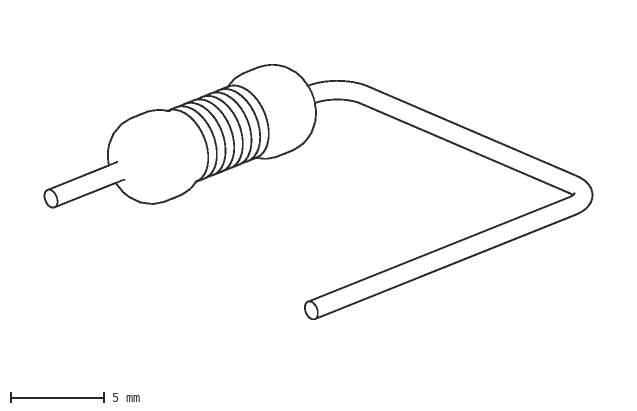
import cadquery as cq
import math


wire_diameter = 1.0
lead_spacing = 20.0
bend_radius = 2.0
lead_end_y = -11.93
overall_length = 21.8
wire_radius = wire_diameter / 2
crossbar_y = lead_end_y + overall_length - wire_radius

cap_radius = 4.8 / 2
core_radius = 4.08 / 2
band_radius = 4.1 / 2
band_width = 0.65
band_count = 4
bands_half_length = (2 * band_count - 1) * band_width / 2
cap_inner_y = 3.65
cap_outer_y = 4.7
neck_y = 6.8
dome_radius = 1.7


def tangent_radius_sum(length, drop):
    """Sum of the two radii of an S-curve that runs parallel to the axis at both ends."""
    return (length**2 + drop**2) / (2 * drop)


def add_s_curve(profile, convex_end, concave_end, convex_radius, concave_radius):
    """Draw the convex arc and then the concave arc, from the convex to the concave end."""
    (r_high, y_high), (r_low, y_low) = convex_end, concave_end
    direction = math.copysign(1, y_low - y_high)
    angle = math.asin(abs(y_low - y_high) / (convex_radius + concave_radius))

    def convex_point(a):
        return (r_high - convex_radius * (1 - math.cos(a)),
                y_high + direction * convex_radius * math.sin(a))

    def concave_point(a):
        return (r_low + concave_radius * (1 - math.cos(a)),
                y_low - direction * concave_radius * math.sin(a))

    profile = profile.threePointArc(convex_point(angle / 2), convex_point(angle))
    return profile.threePointArc(concave_point(angle / 2), concave_end)


def make_end_cap():
    """Revolve the +Y end: shoulder, cylindrical cap, dome and flared neck."""
    shoulder_length = cap_inner_y - bands_half_length
    shoulder_radius = tangent_radius_sum(shoulder_length, cap_radius - core_radius) / 2
    dome_length = neck_y - cap_outer_y
    flare_radius = tangent_radius_sum(dome_length, cap_radius - wire_radius) - dome_radius

    shoulder = cq.Workplane("XY").moveTo(cap_radius, cap_inner_y)
    shoulder = add_s_curve(shoulder, (cap_radius, cap_inner_y), (core_radius, bands_half_length),
                           shoulder_radius, shoulder_radius)
    shoulder = shoulder.lineTo(0, bands_half_length).lineTo(0, cap_inner_y).close()

    dome = cq.Workplane("XY").moveTo(0, cap_inner_y).lineTo(cap_radius, cap_inner_y)
    dome = dome.lineTo(cap_radius, cap_outer_y)
    dome = add_s_curve(dome, (cap_radius, cap_outer_y), (wire_radius, neck_y),
                       dome_radius, flare_radius)
    dome = dome.lineTo(0, neck_y).close()

    axis = ((0, 0, 0), (0, 1, 0))
    return shoulder.revolve(360, *axis).union(dome.revolve(360, *axis))


def make_body():
    end_cap = make_end_cap()
    core = (cq.Workplane("XZ")
            .circle(core_radius)
            .extrude(bands_half_length, both=True))
    body = core.union(end_cap).union(end_cap.mirror("XZ"))
    for index in range(band_count):
        start_y = -bands_half_length + 2 * index * band_width
        band = (cq.Workplane("XZ", origin=(0, start_y, 0))
                .circle(band_radius)
                .extrude(-band_width))
        body = body.union(band)
    return body


def make_wire():
    """Straight lead through the body, two quarter bends and the return lead."""
    bend_start_y = crossbar_y - bend_radius
    bend_offset = bend_radius * (1 - math.sqrt(0.5))
    path = (cq.Workplane("XY")
            .moveTo(0, lead_end_y)
            .lineTo(0, bend_start_y)
            .threePointArc((bend_offset, crossbar_y - bend_offset), (bend_radius, crossbar_y))
            .lineTo(lead_spacing - bend_radius, crossbar_y)
            .threePointArc((lead_spacing - bend_offset, crossbar_y - bend_offset),
                           (lead_spacing, bend_start_y))
            .lineTo(lead_spacing, lead_end_y))
    return (cq.Workplane("XZ", origin=(0, lead_end_y, 0))
            .circle(wire_radius)
            .sweep(path))


result = make_body().union(make_wire())